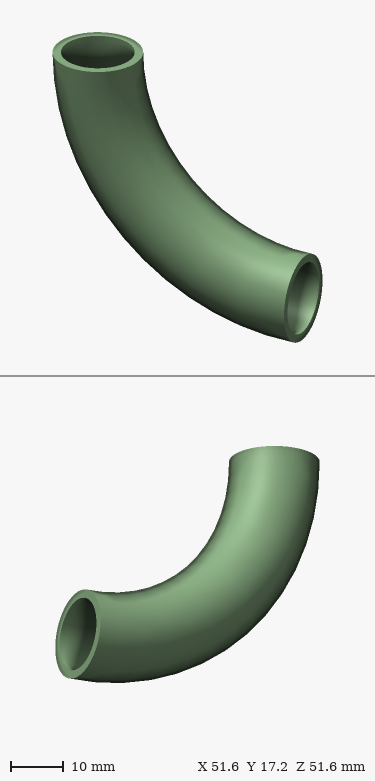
import cadquery as cq

outer_reach = 51.6
outer_diameter = outer_reach / 3
wall = 1.6
bend_angle = 90.0

inner_diameter = outer_diameter - 2 * wall
bend_radius = outer_reach - outer_diameter / 2

bend_axis_start = (bend_radius, 0)
bend_axis_end = (bend_radius, -1)

result = (
    cq.Workplane("XY")
    .circle(outer_diameter / 2)
    .circle(inner_diameter / 2)
    .revolve(bend_angle, bend_axis_start, bend_axis_end)
)